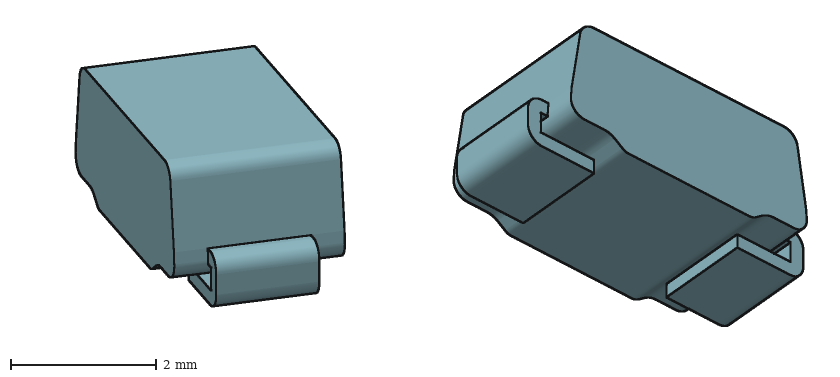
import cadquery as cq
import math

LENGTH = 5.0
BODY_WIDTH = 2.48
TOP_Z = 2.02

BODY_BOTTOM_Z = 0.355
PARTING_Z = 0.8
PARTING_HALF_LENGTH = 2.13
UPPER_DRAFT = 8.8
LOWER_DRAFT = 4.5
TOP_EDGE_RADIUS = 0.255
BOTTOM_EDGE_RADIUS = 0.25

PAD_BOTTOM_Z = 0.16
PAD_HALF_LENGTH = 1.155
PAD_ROOT_HALF_LENGTH = 1.43
PAD_EDGE_RADIUS = 0.2
PAD_ROOT_RADIUS = 0.335

LEAD_THICKNESS = 0.23
LEAD_WIDTH = 1.5
LEAD_FOOT_LENGTH = 1.2
LEAD_BEND_RADIUS = 0.25


def round_edge(solid, x, z, radius):
    """Round the edge that runs along Y through the point (x, z)."""
    return solid.edges(cq.selectors.NearestToPointSelector((x, 0, z))).fillet(radius)


def make_half_body():
    """The +X half of the moulded body, with the pad beneath it."""
    bottom_half = PARTING_HALF_LENGTH + (PARTING_Z - BODY_BOTTOM_Z) * math.tan(math.radians(LOWER_DRAFT))

    top_half = PARTING_HALF_LENGTH - (TOP_Z - PARTING_Z) * math.tan(math.radians(UPPER_DRAFT))

    half = (
        cq.Workplane("XZ")
        .moveTo(0, PAD_BOTTOM_Z)
        .lineTo(PAD_HALF_LENGTH, PAD_BOTTOM_Z)
        .lineTo(PAD_ROOT_HALF_LENGTH, BODY_BOTTOM_Z)
        .lineTo(bottom_half, BODY_BOTTOM_Z)
        .lineTo(PARTING_HALF_LENGTH, PARTING_Z)
        .lineTo(top_half, TOP_Z)
        .lineTo(0, TOP_Z)
        .close()
        .extrude(BODY_WIDTH / 2, both=True)
    )

    half = round_edge(half, top_half, TOP_Z, TOP_EDGE_RADIUS)
    half = round_edge(half, bottom_half, BODY_BOTTOM_Z, BOTTOM_EDGE_RADIUS)
    half = round_edge(half, PAD_HALF_LENGTH, PAD_BOTTOM_Z, PAD_EDGE_RADIUS)
    return round_edge(half, PAD_ROOT_HALF_LENGTH, BODY_BOTTOM_Z, PAD_ROOT_RADIUS)


def make_lead():
    """C-shaped strip at the +X end: arm out of the body, upright, and foot turned back under."""
    outer_x = LENGTH / 2
    inner_x = outer_x - LEAD_THICKNESS
    foot_end_x = outer_x - LEAD_FOOT_LENGTH
    outline = [
        (foot_end_x, 0),
        (outer_x, 0),
        (outer_x, PARTING_Z),
        (foot_end_x, PARTING_Z),
        (foot_end_x, PARTING_Z - LEAD_THICKNESS),
        (inner_x, PARTING_Z - LEAD_THICKNESS),
        (inner_x, LEAD_THICKNESS),
        (foot_end_x, LEAD_THICKNESS),
    ]
    strip = cq.Workplane("XZ").polyline(outline).close().extrude(LEAD_WIDTH / 2, both=True)
    return strip.edges("|Y and >X").fillet(LEAD_BEND_RADIUS)


half_part = make_half_body().union(make_lead())
result = half_part.union(half_part.mirror("YZ"))